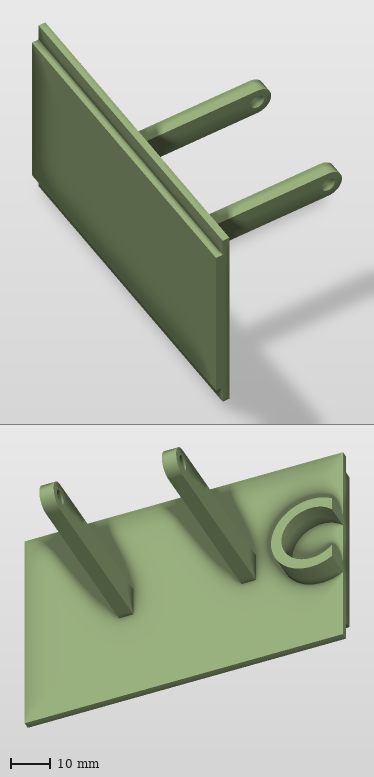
import cadquery as cq

plate_length = 88.39
plate_height = 59.7
plate_thickness = 4.0
flange_thickness = 2.0
panel_height = 49.2

overall_depth = 54.0
arm_thickness = 4.0
arm_width = 8.2
arm_hole_diameter = 4.0
arm_centers_x = (-18.0, 16.0)

ring_outer_radius = 11.1
ring_inner_radius = 8.2
ring_height = 7.0
ring_center_to_end = 5.8

plate_end_x = plate_length / 2
arm_round_radius = arm_width / 2
arm_hole_y = overall_depth - arm_round_radius
ring_center_x = ring_center_to_end - plate_end_x


def make_plate():
    """Full-height flange behind a shorter panel, leaving a step along both long edges."""
    panel = cq.Workplane("XY").box(
        plate_length, plate_thickness, panel_height, centered=(True, False, True)
    )
    flange = (
        cq.Workplane("XY")
        .box(plate_length, flange_thickness, plate_height, centered=(True, False, True))
        .translate((0, plate_thickness - flange_thickness, 0))
    )
    return panel.union(flange)


def make_arm(center_x):
    """Round-ended arm with a pin hole along X, concentric with its tip."""
    side_plane = cq.Workplane("YZ", origin=(center_x - arm_thickness / 2, 0, 0))
    arm = (
        side_plane
        .moveTo(flange_thickness, -arm_round_radius)
        .lineTo(arm_hole_y, -arm_round_radius)
        .threePointArc((overall_depth, 0), (arm_hole_y, arm_round_radius))
        .lineTo(flange_thickness, arm_round_radius)
        .close()
        .extrude(arm_thickness)
    )
    pin_hole = side_plane.center(arm_hole_y, 0).circle(arm_hole_diameter / 2).extrude(arm_thickness)
    return arm.cut(pin_hole)


def make_open_ring():
    """Ring with its axis along Y, trimmed to the part that lies over the plate."""
    ring = (
        cq.Workplane("XZ", origin=(ring_center_x, plate_thickness, 0))
        .circle(ring_outer_radius)
        .circle(ring_inner_radius)
        .extrude(-ring_height)
    )
    space_over_plate = cq.Workplane("XY").box(
        plate_length, overall_depth, plate_height, centered=(True, False, True)
    )
    return ring.intersect(space_over_plate)


result = make_plate().union(make_open_ring())
for arm_center_x in arm_centers_x:
    result = result.union(make_arm(arm_center_x))